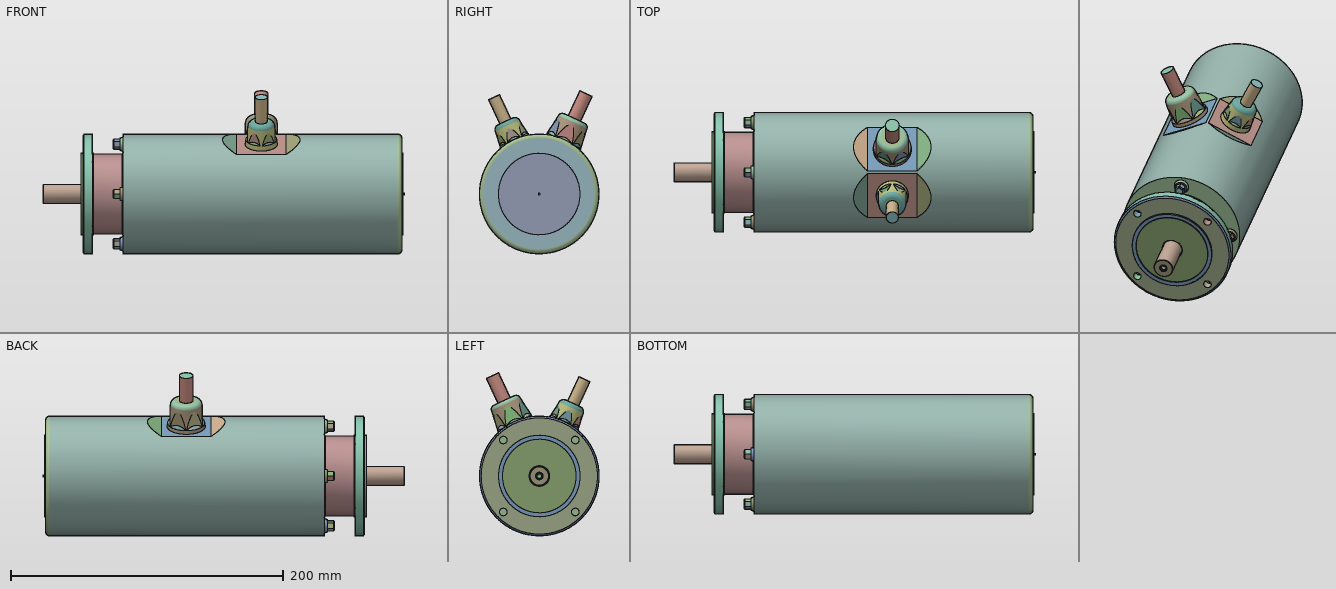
import cadquery as cq
import math

MOTOR_DIAMETER = 88.0
PILOT_FACE_X = 27.5
FLANGE_FACE_X = 29.2
FLANGE_BACK_X = 36.0
CASING_FRONT_X = 58.5
CASING_BACK_X = 263.5
END_PAD_X = 264.2
MOTOR_LENGTH = 265.0

SHAFT_DIAMETER = 14.0
SHAFT_CHAMFER = 0.3
SHAFT_CLEARANCE_DIAMETER = 15.0
SHAFT_CLEARANCE_DEPTH = 1.5
PILOT_DIAMETER = 60.0
PILOT_RECESS_DIAMETER = 54.0
PILOT_RECESS_DEPTH = 0.8
NECK_DIAMETER = 59.0
NECK_FOOT_FLARE = 0.8
NECK_SHOULDER_DIAMETER = PILOT_DIAMETER
NECK_SHOULDER_LENGTH = 0.8
END_PAD_DIAMETER = PILOT_DIAMETER
END_PIP_DIAMETER = 1.3
FLANGE_CHAMFER_LENGTH = 0.8
FLANGE_CHAMFER_WIDTH = 1.3
CASING_FILLET = 3.2

CENTRE_HOLE_DIAMETER = 3.5
CENTRE_HOLE_DEPTH = 5.3
COUNTERSINK_DIAMETER = 5.5
COUNTERBORE_DIAMETER = 4.5
COUNTERBORE_DEPTH = 1.3
DRILL_TIP_LENGTH = 1.0

FLANGE_HOLE_COUNT = 4
FLANGE_HOLE_START_ANGLE = 45
FLANGE_HOLE_DIAMETER = 5.5
FLANGE_HOLE_RADIUS = 37.4

SCREW_COUNT = 4
SCREW_CIRCLE_RADIUS = 36.5
SCREW_LENGTH = 7.5
SCREW_CORNER_DIAMETER = 7.7
SCREW_TIP_CHAMFER = 0.8
SCREW_SEAT_DIAMETER = 10.9
SCREW_COLLAR_DIAMETER = 9.0
SCREW_COLLAR_HEIGHT = 2.0

GLAND_X = 160.0
GLAND_TILT = 25.0
FLAT_DISTANCE = 40.3
FLAT_LENGTH = 36.5
FLAT_RAMP_ANGLE = 20.0

NUT_TAPER_ANGLE = 7.6
SKIRT_ANGLE = 35.0
HEXAGON_SIDES = 6


def x_cylinder(diameter, start_x, end_x):
    return cq.Workplane("YZ", origin=(start_x, 0, 0)).circle(diameter / 2).extrude(end_x - start_x)


def revolve_about_x(profile):
    return cq.Workplane("XY").polyline(profile).close().revolve(360, (0, 0, 0), (1, 0, 0))


def make_centre_hole():
    bore_radius = CENTRE_HOLE_DIAMETER / 2
    mouth_radius = COUNTERSINK_DIAMETER / 2
    counterbore_radius = COUNTERBORE_DIAMETER / 2
    profile = [
        (0, 0),
        (0, mouth_radius),
        (mouth_radius - counterbore_radius, counterbore_radius),
        (COUNTERBORE_DEPTH, counterbore_radius),
        (COUNTERBORE_DEPTH, bore_radius),
        (CENTRE_HOLE_DEPTH, bore_radius),
        (CENTRE_HOLE_DEPTH + DRILL_TIP_LENGTH, 0),
    ]
    return revolve_about_x(profile)


def make_flange():
    rim_radius = MOTOR_DIAMETER / 2
    profile = [
        (FLANGE_FACE_X, 0),
        (FLANGE_FACE_X, rim_radius - FLANGE_CHAMFER_WIDTH),
        (FLANGE_FACE_X + FLANGE_CHAMFER_LENGTH, rim_radius),
        (FLANGE_BACK_X, rim_radius),
        (FLANGE_BACK_X, 0),
    ]
    flange = revolve_about_x(profile)
    flange = flange.union(x_cylinder(PILOT_DIAMETER, PILOT_FACE_X, FLANGE_FACE_X))
    recess_floor_x = PILOT_FACE_X + PILOT_RECESS_DEPTH
    flange = flange.cut(x_cylinder(PILOT_RECESS_DIAMETER, PILOT_FACE_X, recess_floor_x))
    clearance_floor_x = recess_floor_x + SHAFT_CLEARANCE_DEPTH
    flange = flange.cut(x_cylinder(SHAFT_CLEARANCE_DIAMETER, recess_floor_x, clearance_floor_x))
    flange_holes = (
        cq.Workplane("YZ", origin=(FLANGE_FACE_X, 0, 0))
        .polarArray(FLANGE_HOLE_RADIUS, FLANGE_HOLE_START_ANGLE, 360, FLANGE_HOLE_COUNT)
        .circle(FLANGE_HOLE_DIAMETER / 2)
        .extrude(FLANGE_BACK_X - FLANGE_FACE_X)
    )
    return flange.cut(flange_holes)


def make_flat_cutter(tilt):
    """Trapezoid above the flat, widening outwards along the two end ramps, tilted about X."""
    cutter_height = MOTOR_DIAMETER / 2
    half_floor = FLAT_LENGTH / 2
    half_top = half_floor + cutter_height / math.tan(math.radians(FLAT_RAMP_ANGLE))
    top_distance = FLAT_DISTANCE + cutter_height
    profile = [
        (GLAND_X - half_floor, FLAT_DISTANCE),
        (GLAND_X + half_floor, FLAT_DISTANCE),
        (GLAND_X + half_top, top_distance),
        (GLAND_X - half_top, top_distance),
    ]
    cutter = cq.Workplane("XZ").polyline(profile).close().extrude(MOTOR_DIAMETER / 2, both=True)
    return cutter.rotate((0, 0, 0), (1, 0, 0), tilt)


def make_casing():
    casing = x_cylinder(MOTOR_DIAMETER, CASING_FRONT_X, CASING_BACK_X)
    casing = casing.faces(">X").edges().fillet(CASING_FILLET)
    casing = casing.union(x_cylinder(END_PAD_DIAMETER, CASING_BACK_X, END_PAD_X))
    casing = casing.union(x_cylinder(END_PIP_DIAMETER, END_PAD_X, MOTOR_LENGTH))
    for tilt in (-GLAND_TILT, GLAND_TILT):
        casing = casing.cut(make_flat_cutter(tilt))
    return casing


def make_screw(angle):
    """Hexagon head with one corner pointing outwards, on a conical collar, turned about X by angle."""
    head = (
        cq.Workplane("YZ", origin=(CASING_FRONT_X - SCREW_LENGTH, 0, SCREW_CIRCLE_RADIUS))
        .transformed(rotate=(0, 0, 90))
        .polygon(HEXAGON_SIDES, SCREW_CORNER_DIAMETER)
        .extrude(SCREW_LENGTH)
        .faces("<X")
        .chamfer(SCREW_TIP_CHAMFER)
    )
    collar = cq.Workplane(
        cq.Solid.makeCone(
            SCREW_SEAT_DIAMETER / 2,
            SCREW_COLLAR_DIAMETER / 2,
            SCREW_COLLAR_HEIGHT,
            cq.Vector(CASING_FRONT_X, 0, SCREW_CIRCLE_RADIUS),
            cq.Vector(-1, 0, 0),
        )
    )
    return head.union(collar).rotate((0, 0, 0), (1, 0, 0), angle)


def make_neck():
    """Neck with a short shoulder behind the flange and a flared foot on the casing."""
    neck = x_cylinder(NECK_DIAMETER, FLANGE_BACK_X, CASING_FRONT_X)
    shoulder_end_x = FLANGE_BACK_X + NECK_SHOULDER_LENGTH
    neck = neck.union(x_cylinder(NECK_SHOULDER_DIAMETER, FLANGE_BACK_X, shoulder_end_x))
    neck_radius = NECK_DIAMETER / 2
    foot = cq.Solid.makeCone(
        neck_radius,
        neck_radius + NECK_FOOT_FLARE,
        NECK_FOOT_FLARE,
        cq.Vector(CASING_FRONT_X - NECK_FOOT_FLARE, 0, 0),
        cq.Vector(1, 0, 0),
    )
    return neck.union(cq.Workplane(foot))


def make_motor():
    motor = make_casing().union(make_neck())
    motor = motor.union(make_flange())
    shaft = x_cylinder(SHAFT_DIAMETER, 0, FLANGE_BACK_X).faces("<X").chamfer(SHAFT_CHAMFER)
    motor = motor.union(shaft.cut(make_centre_hole()))
    for index in range(SCREW_COUNT):
        motor = motor.union(make_screw(index * 360 / SCREW_COUNT))
    return motor


def revolve_about_z(profile):
    return cq.Workplane("XZ").polyline(profile).close().revolve(360, (0, 0, 0), (0, 1, 0))


def make_gland(tilt, tip, cable, nut_top, nut_top_diameter, rounding, flats, skirt_top):
    """Tapered gland nut with a rounded top and six flats, and the cable standing on it."""
    nut_height = nut_top - FLAT_DISTANCE
    top_radius = nut_top_diameter / 2
    base_radius = top_radius + nut_height * math.tan(math.radians(NUT_TAPER_ANGLE))
    nut = revolve_about_z(
        [(0, FLAT_DISTANCE), (base_radius, FLAT_DISTANCE), (top_radius, nut_top), (0, nut_top)]
    )
    nut = nut.faces(">Z").edges().fillet(rounding)

    skirt_drop = (base_radius - flats / 2) / math.tan(math.radians(SKIRT_ANGLE))
    around_nut = revolve_about_z(
        [
            (0, nut_top),
            (base_radius, nut_top),
            (base_radius, skirt_top - skirt_drop),
            (flats / 2, skirt_top),
            (0, skirt_top),
        ]
    )
    corner_diameter = flats / math.cos(math.pi / HEXAGON_SIDES)
    hexagon = (
        cq.Workplane("XY", origin=(0, 0, FLAT_DISTANCE))
        .transformed(rotate=(0, 0, 90))
        .polygon(HEXAGON_SIDES, corner_diameter)
        .extrude(nut_height)
    )
    nut = nut.cut(around_nut.cut(hexagon))

    cable_stub = cq.Workplane("XY", origin=(0, 0, FLAT_DISTANCE)).circle(cable / 2).extrude(tip - FLAT_DISTANCE)
    gland = nut.union(cable_stub)
    return gland.translate((GLAND_X, 0, 0)).rotate((0, 0, 0), (1, 0, 0), tilt)


motor = make_motor()

large_gland = make_gland(
    tilt=-GLAND_TILT,
    tip=81.4,
    cable=10.0,
    nut_top=61.2,
    nut_top_diameter=22.5,
    rounding=3.5,
    flats=23.8,
    skirt_top=45.5,
)

small_gland = make_gland(
    tilt=GLAND_TILT,
    tip=78.5,
    cable=9.0,
    nut_top=58.8,
    nut_top_diameter=18.8,
    rounding=4.0,
    flats=20.5,
    skirt_top=45.8,
)

result = cq.Compound.makeCompound([motor.val(), large_gland.val(), small_gland.val()])